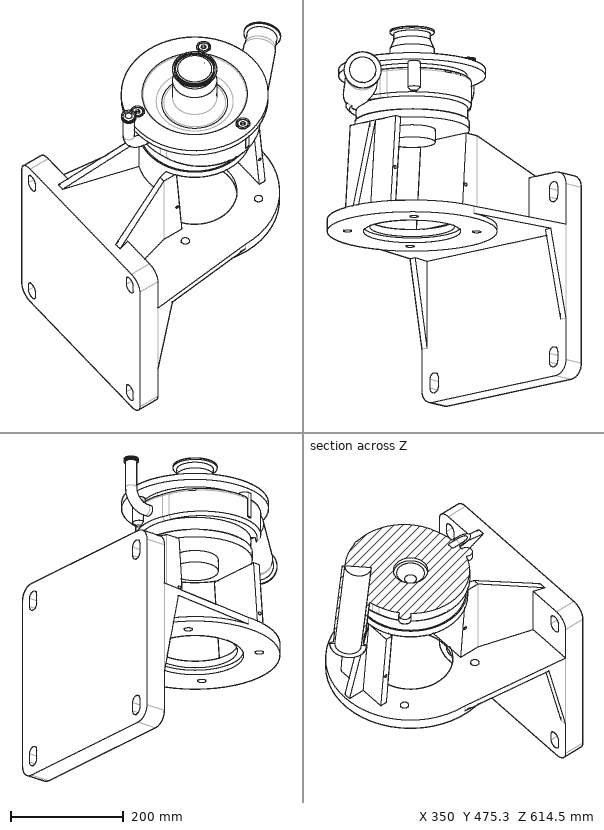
import cadquery as cq
import math


PLATE_WIDTH = 350.0
PLATE_HEIGHT = 370.5
PLATE_THICK = 40.0
PLATE_FRONT_Y = -251.5
PLATE_BACK_Y = PLATE_FRONT_Y + PLATE_THICK
PLATE_CORNER_R = 25.0
SLOT_WIDTH = 20.0
SLOT_LENGTH = 36.0
SLOT_X = 145.0
SLOT_INSET_Z = 35.0

SHELF_TOP_Z = 271.5
SHELF_THICK = 13.0
SHELF_BOTTOM_Z = SHELF_TOP_Z - SHELF_THICK
SHELF_R = 150.5
RING_THICK = 8.5
SHELF_BORE_R = 75.0
RING_BORE_R = 86.0
SHELF_HOLE_R = 7.5
SHELF_HOLE_CIRCLE_R = 114.0
GUSSET_THICK = 13.0
GUSSET_DEPTH = 35.0
GUSSET_HEIGHT = 158.0

LEG_TOP_Z = 434.5
LEG_HALF_WIDTH = 55.0
LEG_HEIGHT = LEG_TOP_Z - SHELF_TOP_Z
FRONT_LEG_INNER_TOP_Y = -81.0
FRONT_LEG_INNER_BOTTOM_Y = -69.5
RIB_START_Y = -109.5
RIB_END_Y = -233.0
RIB_INNER_X = 40.0
RIB_INNER_Y = -93.5
RIB_END_OUTER_X = 91.5
RIB_END_INNER_X = 78.5
BACK_LEG_INNER_TOP_Y = 88.5
BACK_LEG_INNER_BOTTOM_Y = 101.5
BACK_LEG_THICK = 13.0
BACK_RIB_OUTER_TOP_Y = BACK_LEG_INNER_TOP_Y + BACK_LEG_THICK
BACK_RIB_OUTER_BOTTOM_Y = 145.5
BACK_RIB_THICK = 13.0
CROSS_HOLE_R = 2.75
CROSS_HOLE_Z = 340.5
CROSS_HOLE_YS = (-80.0, 102.5)

HUB_R = 41.0
HUB_BOTTOM_Z = 412.5
MOUNT_DISC_R = 101.5
MOUNT_DISC_TOP_Z = 449.0
NECK_R = 99.0
CASING_R = 105.0
CASING_BOTTOM_Z = 473.0
CASING_TOP_Z = 525.0
CASING_SHIFT = 13.5
CASING_BOTTOM_CHAMFER = 6.0
CASING_TOP_FILLET = 5.0
VOLUTE_ANGLE = 18.0

COVER_R = 130.0
COVER_TOP_Z = 544.5
COVER_THICK = 11.5
COVER_BOTTOM_Z = COVER_TOP_Z - COVER_THICK
SPIGOT_R = 98.0
DISH_RIM_R = 93.5
DISH_RIM_CHAMFER = 2.0
DISH_CONE_R = 68.0
DISH_FLOOR_OUTER_R = 58.5
DISH_FLOOR_INNER_R = 54.5
DISH_CONE_Z = 523.5
DISH_FLOOR_Z = 519.0
INLET_R = 39.5
INLET_FILLET = DISH_FLOOR_INNER_R - INLET_R
INLET_SHOULDER_Z = 582.0
INLET_NECK_Z = 598.0
INLET_NECK_R = 32.5
INLET_LIP_THICK = 3.0
INLET_LIP_TAPER = 2.5
INLET_TOP_Z = 614.5
INLET_BORE_R = 30.0
INLET_GROOVE_INNER_R = 34.0
INLET_GROOVE_OUTER_R = 36.0
INLET_GROOVE_DEPTH = 1.0
INLET_BORE_FLOOR_Z = 491.5
EYE_RIM_R = 24.5
EYE_FLOOR_R = 10.5
EYE_DEPTH = 15.5

BOLT_CIRCLE_R = 109.0
BOLT_ANGLES = (15.0, 135.0, 255.0)
BOLT_POST_R = 11.0
BOLT_POST_BOTTOM_Z = 480.5
BOLT_POST_CHAMFER = 6.0
BOLT_RECESS_R = 12.0
BOLT_HEAD_R = 9.0
BOLT_RECESS_DEPTH = 5.0
HEX_SOCKET_DIAMETER = 8.5

OUTLET_ANGLE = 45.0
OUTLET_OFFSET = 93.5
OUTLET_Z = 498.5
OUTLET_LENGTH = 190.0
OUTLET_DIAMETER = 57.0
OUTLET_R = OUTLET_DIAMETER / 2
OUTLET_TAPER_START = 155.5
OUTLET_NECK_START = 163.0
OUTLET_NECK_R = 27.0
OUTLET_LIP_DIAMETER = 66.0
OUTLET_LIP_R = OUTLET_LIP_DIAMETER / 2
OUTLET_LIP_THICK = 3.0
OUTLET_LIP_TAPER = 2.5
OUTLET_BORE_R = 23.5

ELBOW_Y = -145.5
ELBOW_Z = 500.0
ELBOW_BEND_R = 34.5
ELBOW_TUBE_DIAMETER = 20.0
ELBOW_TUBE_R = ELBOW_TUBE_DIAMETER / 2
ELBOW_BORE_R = 6.0
ELBOW_TOP_Z = 589.0
ELBOW_LIP_R = 13.0
ELBOW_LIP_THICK = 2.0
ELBOW_LIP_PITCH = 3.5
ELBOW_ROOT_Y = -92.0


def cylinder(radius, bottom_z, top_z):
    """Upright cylinder on the pump axis."""
    return cq.Workplane("XY").workplane(offset=bottom_z).circle(radius).extrude(top_z - bottom_z)


def side_prism(outline, half_width):
    """Prism with a (Y, Z) outline, centred on X = 0."""
    return cq.Workplane("YZ").polyline(outline).close().extrude(half_width, both=True)


def plan_prism(outline, bottom_z, top_z):
    """Prism with an (X, Y) outline."""
    return cq.Workplane("XY").workplane(offset=bottom_z).polyline(outline).close().extrude(top_z - bottom_z)


def wall_plate():
    plate = (
        cq.Workplane("XY")
        .box(PLATE_WIDTH, PLATE_THICK, PLATE_HEIGHT, centered=(True, False, False))
        .translate((0, PLATE_FRONT_Y, 0))
        .edges("|Y")
        .fillet(PLATE_CORNER_R)
    )
    slot_zs = (SLOT_INSET_Z, PLATE_HEIGHT - SLOT_INSET_Z)
    slots = (
        cq.Workplane("XZ", origin=(0, PLATE_BACK_Y, 0))
        .pushPoints([(x, z) for x in (-SLOT_X, SLOT_X) for z in slot_zs])
        .slot2D(SLOT_LENGTH, SLOT_WIDTH, 90)
        .extrude(PLATE_THICK)
    )
    return plate.cut(slots)


def shelf():
    half_width = PLATE_WIDTH / 2
    ring_bottom_z = SHELF_BOTTOM_Z - RING_THICK
    apron = plan_prism(
        [(-half_width, PLATE_BACK_Y), (-SHELF_R, 0), (SHELF_R, 0), (half_width, PLATE_BACK_Y)],
        SHELF_BOTTOM_Z,
        SHELF_TOP_Z,
    )
    body = cylinder(SHELF_R, ring_bottom_z, SHELF_TOP_Z).union(apron)
    body = body.cut(cylinder(SHELF_BORE_R, SHELF_BOTTOM_Z, SHELF_TOP_Z))
    body = body.cut(cylinder(RING_BORE_R, ring_bottom_z, SHELF_BOTTOM_Z))
    holes = (
        cq.Workplane("XY")
        .workplane(offset=ring_bottom_z)
        .polarArray(SHELF_HOLE_CIRCLE_R, 45, 360, 4)
        .circle(SHELF_HOLE_R)
        .extrude(SHELF_THICK + RING_THICK)
    )
    return body.cut(holes)


def gussets():
    """Two triangular gussets under the slanted edges of the shelf."""
    half_width = PLATE_WIDTH / 2
    tip_y = PLATE_BACK_Y + GUSSET_DEPTH
    edge_slope = (half_width - SHELF_R) / -PLATE_BACK_Y
    tip_half_width = SHELF_R - edge_slope * tip_y
    side_profile = side_prism(
        [
            (PLATE_BACK_Y, SHELF_BOTTOM_Z),
            (tip_y, SHELF_BOTTOM_Z),
            (PLATE_BACK_Y, SHELF_BOTTOM_Z - GUSSET_HEIGHT),
        ],
        half_width,
    )
    plan = plan_prism(
        [
            (half_width, PLATE_BACK_Y),
            (tip_half_width, tip_y),
            (tip_half_width - GUSSET_THICK, tip_y),
            (half_width - GUSSET_THICK, PLATE_BACK_Y),
        ],
        0,
        SHELF_BOTTOM_Z,
    )
    gusset = plan.intersect(side_profile)
    return gusset.union(gusset.mirror("YZ"))


def front_leg():
    """Curved panel under the mounting disc with two splayed ribs running over the wall plate."""
    panel = cylinder(MOUNT_DISC_R, SHELF_TOP_Z, LEG_TOP_Z).intersect(
        cq.Workplane("XY")
        .box(2 * LEG_HALF_WIDTH, MOUNT_DISC_R, LEG_HEIGHT, centered=(True, False, False))
        .translate((0, -MOUNT_DISC_R, SHELF_TOP_Z))
    )
    rib = plan_prism(
        [
            (RIB_INNER_X, FRONT_LEG_INNER_BOTTOM_Y),
            (LEG_HALF_WIDTH, FRONT_LEG_INNER_BOTTOM_Y),
            (LEG_HALF_WIDTH, RIB_START_Y),
            (RIB_END_OUTER_X, RIB_END_Y),
            (RIB_END_INNER_X, RIB_END_Y),
            (RIB_INNER_X, RIB_INNER_Y),
        ],
        SHELF_TOP_Z,
        LEG_TOP_Z,
    )
    side_profile = side_prism(
        [
            (FRONT_LEG_INNER_BOTTOM_Y, SHELF_TOP_Z),
            (FRONT_LEG_INNER_TOP_Y, LEG_TOP_Z),
            (RIB_START_Y, LEG_TOP_Z),
            (RIB_END_Y, PLATE_HEIGHT),
            (RIB_END_Y, SHELF_TOP_Z),
        ],
        RIB_END_OUTER_X,
    )
    return panel.union(rib).union(rib.mirror("YZ")).intersect(side_profile)


def rib_infill():
    """Block that fills the space between the ribs, level with the wall plate."""
    return plan_prism(
        [
            (-RIB_INNER_X, RIB_INNER_Y),
            (RIB_INNER_X, RIB_INNER_Y),
            (RIB_END_INNER_X, RIB_END_Y),
            (-RIB_END_INNER_X, RIB_END_Y),
        ],
        SHELF_TOP_Z,
        PLATE_HEIGHT,
    )


def back_leg():
    """Leaning panel with a tapered rib along its middle."""
    panel = side_prism(
        [
            (BACK_LEG_INNER_BOTTOM_Y, SHELF_TOP_Z),
            (BACK_LEG_INNER_BOTTOM_Y + BACK_LEG_THICK, SHELF_TOP_Z),
            (BACK_LEG_INNER_TOP_Y + BACK_LEG_THICK, LEG_TOP_Z),
            (BACK_LEG_INNER_TOP_Y, LEG_TOP_Z),
        ],
        LEG_HALF_WIDTH,
    )
    rib = side_prism(
        [
            (BACK_LEG_INNER_BOTTOM_Y, SHELF_TOP_Z),
            (BACK_RIB_OUTER_BOTTOM_Y, SHELF_TOP_Z),
            (BACK_RIB_OUTER_TOP_Y, LEG_TOP_Z),
            (BACK_LEG_INNER_TOP_Y, LEG_TOP_Z),
        ],
        BACK_RIB_THICK / 2,
    )
    return panel.union(rib)


def cross_holes():
    return (
        cq.Workplane("YZ")
        .pushPoints([(y, CROSS_HOLE_Z) for y in CROSS_HOLE_YS])
        .circle(CROSS_HOLE_R)
        .extrude(LEG_HALF_WIDTH, both=True)
    )


def casing():
    """Hub, mounting disc, neck and volute; the volute bulges toward +X."""
    angle = math.radians(VOLUTE_ANGLE)
    half_shift = CASING_SHIFT / 2
    volute = (
        cq.Workplane("XY")
        .workplane(offset=CASING_BOTTOM_Z)
        .center(half_shift * math.cos(angle), half_shift * math.sin(angle))
        .slot2D(2 * CASING_R + CASING_SHIFT, 2 * CASING_R, VOLUTE_ANGLE)
        .extrude(CASING_TOP_Z - CASING_BOTTOM_Z)
    )
    volute = volute.faces("<Z").chamfer(CASING_BOTTOM_CHAMFER)
    volute = volute.faces(">Z").edges().fillet(CASING_TOP_FILLET)
    body = cylinder(HUB_R, HUB_BOTTOM_Z, LEG_TOP_Z)
    body = body.union(cylinder(MOUNT_DISC_R, LEG_TOP_Z, MOUNT_DISC_TOP_Z))
    body = body.union(cylinder(NECK_R, MOUNT_DISC_TOP_Z, CASING_BOTTOM_Z))
    return body.union(volute)


def dish_cut():
    """Ring-shaped hollow of the cover around the inlet tube."""
    fillet_top_z = DISH_FLOOR_Z + INLET_FILLET
    fillet_mid = INLET_FILLET * (1 - math.cos(math.radians(45)))
    return (
        cq.Workplane("XZ")
        .moveTo(INLET_R, COVER_TOP_Z)
        .lineTo(DISH_RIM_R, COVER_TOP_Z)
        .lineTo(DISH_RIM_R - DISH_RIM_CHAMFER, COVER_TOP_Z - DISH_RIM_CHAMFER)
        .lineTo(DISH_CONE_R, DISH_CONE_Z)
        .lineTo(DISH_FLOOR_OUTER_R, DISH_FLOOR_Z)
        .lineTo(DISH_FLOOR_INNER_R, DISH_FLOOR_Z)
        .threePointArc((INLET_R + fillet_mid, DISH_FLOOR_Z + fillet_mid), (INLET_R, fillet_top_z))
        .close()
        .revolve(360, (0, 0, 0), (0, 1, 0))
    )


def inlet_tube():
    lip_bottom_z = INLET_TOP_Z - INLET_LIP_THICK
    return (
        cq.Workplane("XZ")
        .polyline(
            [
                (0, COVER_BOTTOM_Z),
                (INLET_R, COVER_BOTTOM_Z),
                (INLET_R, INLET_SHOULDER_Z),
                (INLET_NECK_R, INLET_NECK_Z),
                (INLET_NECK_R, lip_bottom_z - INLET_LIP_TAPER),
                (INLET_R, lip_bottom_z),
                (INLET_R, INLET_TOP_Z),
                (0, INLET_TOP_Z),
            ]
        )
        .close()
        .revolve(360, (0, 0, 0), (0, 1, 0))
    )


def inlet_bore():
    """Inlet bore that ends in a shallow funnel."""
    return (
        cq.Workplane("XZ")
        .polyline(
            [
                (0, INLET_TOP_Z),
                (INLET_BORE_R, INLET_TOP_Z),
                (INLET_BORE_R, INLET_BORE_FLOOR_Z),
                (EYE_RIM_R, INLET_BORE_FLOOR_Z),
                (EYE_FLOOR_R, INLET_BORE_FLOOR_Z - EYE_DEPTH),
                (0, INLET_BORE_FLOOR_Z - EYE_DEPTH),
            ]
        )
        .close()
        .revolve(360, (0, 0, 0), (0, 1, 0))
    )


def inlet_groove():
    """Seal groove in the end face of the inlet lip."""
    outer = cylinder(INLET_GROOVE_OUTER_R, INLET_TOP_Z - INLET_GROOVE_DEPTH, INLET_TOP_Z)
    return outer.cut(cylinder(INLET_GROOVE_INNER_R, INLET_TOP_Z - INLET_GROOVE_DEPTH, INLET_TOP_Z))


def bolt_points():
    angles = [math.radians(a) for a in BOLT_ANGLES]
    return [(BOLT_CIRCLE_R * math.cos(a), BOLT_CIRCLE_R * math.sin(a)) for a in angles]


def bolt_posts():
    """Round posts on the casing that take the cover bolts, bevelled at the lower end."""
    return (
        cq.Workplane("XY")
        .workplane(offset=BOLT_POST_BOTTOM_Z)
        .pushPoints(bolt_points())
        .circle(BOLT_POST_R)
        .extrude(COVER_BOTTOM_Z - BOLT_POST_BOTTOM_Z)
        .faces("<Z")
        .edges()
        .chamfer(BOLT_POST_CHAMFER)
    )


def bolt_recesses():
    """Ring gap around each sunk bolt head, and its hexagon socket."""
    plane = cq.Workplane("XY").workplane(offset=COVER_TOP_Z).pushPoints(bolt_points())
    gaps = plane.circle(BOLT_RECESS_R).circle(BOLT_HEAD_R).extrude(-BOLT_RECESS_DEPTH)
    sockets = plane.polygon(6, HEX_SOCKET_DIAMETER).extrude(-BOLT_RECESS_DEPTH)
    return gaps.union(sockets)


def outlet_plane():
    """Plane square to the outlet tube, which runs tangentially off the volute."""
    angle = math.radians(OUTLET_ANGLE)
    origin = (OUTLET_OFFSET * math.cos(angle), OUTLET_OFFSET * math.sin(angle), OUTLET_Z)
    along = (-math.sin(angle), math.cos(angle), 0)
    return cq.Plane(origin=origin, xDir=(0, 0, 1), normal=along)


def outlet_tube():
    lip_start = OUTLET_LENGTH - OUTLET_LIP_THICK
    tube = (
        cq.Workplane("XZ")
        .polyline(
            [
                (0, 0),
                (OUTLET_R, 0),
                (OUTLET_R, OUTLET_TAPER_START),
                (OUTLET_NECK_R, OUTLET_NECK_START),
                (OUTLET_NECK_R, lip_start - OUTLET_LIP_TAPER),
                (OUTLET_LIP_R, lip_start),
                (OUTLET_LIP_R, OUTLET_LENGTH),
                (0, OUTLET_LENGTH),
            ]
        )
        .close()
        .revolve(360, (0, 0, 0), (0, 1, 0))
    )
    return cq.Workplane(tube.val().moved(cq.Location(outlet_plane())))


def outlet_bore():
    return cq.Workplane(outlet_plane()).circle(OUTLET_BORE_R).extrude(OUTLET_LENGTH)


def elbow_sweep(radius):
    """Round bar from the volute outward, bent up to the top of the flushing elbow."""
    bend_start_y = ELBOW_Y + ELBOW_BEND_R
    bend_end_z = ELBOW_Z + ELBOW_BEND_R
    sag = ELBOW_BEND_R * (1 - math.cos(math.radians(45)))
    path = (
        cq.Workplane("YZ")
        .moveTo(ELBOW_ROOT_Y, ELBOW_Z)
        .lineTo(bend_start_y, ELBOW_Z)
        .threePointArc((ELBOW_Y + sag, ELBOW_Z + sag), (ELBOW_Y, bend_end_z))
        .lineTo(ELBOW_Y, ELBOW_TOP_Z)
    )
    return cq.Workplane("XZ", origin=(0, ELBOW_ROOT_Y, ELBOW_Z)).circle(radius).sweep(path)


def elbow_lips():
    lips = cq.Workplane("XY")
    for lip_top_z in (ELBOW_TOP_Z, ELBOW_TOP_Z - ELBOW_LIP_PITCH):
        lip = cylinder(ELBOW_LIP_R, lip_top_z - ELBOW_LIP_THICK, lip_top_z)
        lips = lips.add(lip.translate((0, ELBOW_Y, 0)))
    return lips.combine()


bracket = wall_plate()
for piece in (shelf(), gussets(), front_leg(), rib_infill(), back_leg()):
    bracket = bracket.union(piece)
bracket = bracket.cut(cross_holes())

pump = casing()
pump = pump.union(cylinder(SPIGOT_R, CASING_TOP_Z, COVER_BOTTOM_Z))
pump = pump.union(cylinder(COVER_R, COVER_BOTTOM_Z, COVER_TOP_Z))
pump = pump.union(bolt_posts()).cut(bolt_recesses())
pump = pump.cut(dish_cut()).union(inlet_tube())
pump = pump.union(outlet_tube())
pump = pump.union(elbow_sweep(ELBOW_TUBE_R)).union(elbow_lips())
for hollow in (inlet_bore(), inlet_groove(), outlet_bore(), elbow_sweep(ELBOW_BORE_R)):
    pump = pump.cut(hollow)

result = bracket.union(pump)